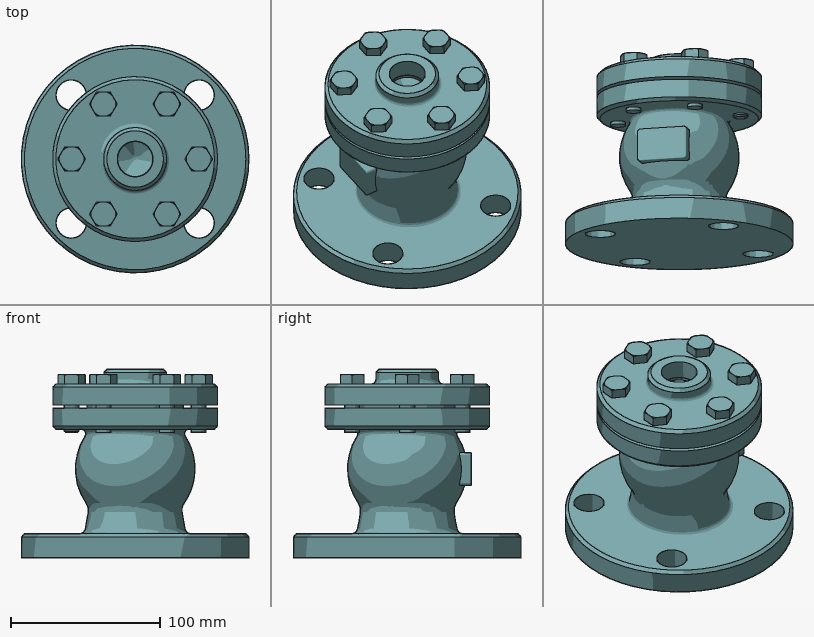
import cadquery as cq
import math

base_diameter = 152.0
base_thickness = 16.3
base_hole_diameter = 20.0
base_hole_circle = 120.7
base_hole_count = 4
flange_chamfer = 2.1

ball_radius = 40.0
ball_center_z = 59.5
foot_radius = 33.9
foot_taper = 10.0
foot_fillet = 4.0
waist_fillet = 8.0
neck_fillet = 3.0

cover_diameter = 110.0
cover_thickness = 14.1
gasket_diameter = 64.5
gasket_thickness = 2.0
lower_cover_z = 85.9
gasket_z = lower_cover_z + cover_thickness
upper_cover_z = gasket_z + gasket_thickness
cover_top_z = upper_cover_z + cover_thickness

total_height = 126.0
boss_diameter = 42.0
boss_fillet = 3.0
bore_diameter = 23.9
bore_depth = 12.8
pilot_diameter = 23.4
pilot_depth = 14.6
drill_point_angle = 118.0

bolt_diameter = 10.0
bolt_circle = 84.8
bolt_count = 6
bolt_head_flats = 16.0
bolt_head_height = 6.4
bolt_head_face_diameter = 16.5
bolt_head_bevel = 30.0
bolt_end_z = 83.8
bolt_end_chamfer = 1.0
chamfered_bolt_angle = 180.0

pad_width = 34.0
pad_height = 22.0
pad_center_z = 59.3
pad_face_y = 42.7
pad_corner_radius = 2.1
pad_edge_fillet = 0.6


def disc(diameter, thickness, z):
    return cq.Workplane("XY", origin=(0, 0, z)).circle(diameter / 2).extrude(thickness)


def round_ring(solid, radius, z, fillet):
    """Fillet the circular edge of the given radius about the Z axis at height z."""
    near = 0.02
    low_corner = (-radius - near, -radius - near, z - near)
    high_corner = (radius + near, radius + near, z + near)
    ring = cq.selectors.BoxSelector(low_corner, high_corner, boundingbox=True)
    return solid.edges(ring).fillet(fillet)


def waist_point():
    """Radius and height where the tapered foot runs into the lower half of the ball."""
    slope = math.tan(math.radians(foot_taper))
    drop = ball_center_z - base_thickness
    a = slope**2 + 1
    half_b = -(foot_radius * slope + drop)
    c = foot_radius**2 + drop**2 - ball_radius**2
    rise = (-half_b - math.sqrt(half_b**2 - a * c)) / a
    return foot_radius - slope * rise, base_thickness + rise


def make_body():
    """Everything turned about Z below the gasket, with its blends."""
    waist_radius, waist_z = waist_point()
    neck_radius = math.sqrt(ball_radius**2 - (lower_cover_z - ball_center_z) ** 2)
    base_radius = base_diameter / 2
    cover_radius = cover_diameter / 2
    body = (
        cq.Workplane("XZ")
        .moveTo(0, 0)
        .lineTo(base_radius, 0)
        .lineTo(base_radius, base_thickness - flange_chamfer)
        .lineTo(base_radius - flange_chamfer, base_thickness)
        .lineTo(foot_radius, base_thickness)
        .lineTo(waist_radius, waist_z)
        .threePointArc((ball_radius, ball_center_z), (neck_radius, lower_cover_z))
        .lineTo(cover_radius - flange_chamfer, lower_cover_z)
        .lineTo(cover_radius, lower_cover_z + flange_chamfer)
        .lineTo(cover_radius, gasket_z)
        .lineTo(0, gasket_z)
        .close()
        .revolve(360, (0, 0, 0), (0, 1, 0))
    )

    body = round_ring(body, waist_radius, waist_z, waist_fillet)
    body = round_ring(body, foot_radius, base_thickness, foot_fillet)
    return round_ring(body, neck_radius, lower_cover_z, neck_fillet)


def make_cover():
    """Gasket, upper flange and inlet boss."""
    flange = disc(cover_diameter, cover_thickness, upper_cover_z).faces(">Z").chamfer(flange_chamfer)
    boss = disc(boss_diameter, total_height - cover_top_z, cover_top_z)
    boss = boss.faces(">Z").chamfer(flange_chamfer)
    cover = flange.union(boss)
    cover = round_ring(cover, boss_diameter / 2, cover_top_z, boss_fillet)
    return cover.union(disc(gasket_diameter, gasket_thickness, gasket_z))


def make_bore():
    """Blind bore with a slightly narrower pilot and a drill point."""
    bore_radius = bore_diameter / 2
    pilot_radius = pilot_diameter / 2
    step_z = total_height - bore_depth
    pilot_z = total_height - pilot_depth
    tip_z = pilot_z - pilot_radius / math.tan(math.radians(drill_point_angle / 2))
    return (
        cq.Workplane("XZ")
        .moveTo(0, total_height)
        .lineTo(bore_radius, total_height)
        .lineTo(bore_radius, step_z)
        .lineTo(pilot_radius, step_z)
        .lineTo(pilot_radius, pilot_z)
        .lineTo(0, tip_z)
        .close()
        .revolve(360, (0, 0, 0), (0, 1, 0))
    )


def make_bolt(end_chamfered):
    """Hex bolt on the Z axis, with two corners of its head on the X axis."""
    corner_diameter = bolt_head_flats / math.cos(math.radians(30))
    corner_radius = corner_diameter / 2
    face_radius = bolt_head_face_diameter / 2
    head_top_z = cover_top_z + bolt_head_height
    bevel_drop = (corner_radius - face_radius) * math.tan(math.radians(bolt_head_bevel))
    hexagon = (
        cq.Workplane("XY", origin=(0, 0, cover_top_z))
        .polygon(6, corner_diameter)
        .extrude(bolt_head_height)
    )
    bevel = (
        cq.Workplane("XZ")
        .moveTo(0, cover_top_z)
        .lineTo(corner_radius, cover_top_z)
        .lineTo(corner_radius, head_top_z - bevel_drop)
        .lineTo(face_radius, head_top_z)
        .lineTo(0, head_top_z)
        .close()
        .revolve(360, (0, 0, 0), (0, 1, 0))
    )
    shank = disc(bolt_diameter, cover_top_z - bolt_end_z, bolt_end_z)
    if end_chamfered:
        shank = shank.faces("<Z").chamfer(bolt_end_chamfer)
    return hexagon.intersect(bevel).union(shank)


def make_pad():
    """Rounded rectangular pad, reaching from inside the ball to its flat +Y face."""
    pad = (
        cq.Workplane("XY")
        .box(pad_width, pad_face_y, pad_height, centered=(True, False, True))
        .edges("|Y")
        .fillet(pad_corner_radius)
        .faces(">Y")
        .edges()
        .fillet(pad_edge_fillet)
    )
    return pad.translate((0, 0, pad_center_z))


base_holes = (
    cq.Workplane("XY")
    .polarArray(base_hole_circle / 2, 180 / base_hole_count, 360, base_hole_count)
    .circle(base_hole_diameter / 2)
    .extrude(base_thickness)
)

result = make_body().union(make_cover()).union(make_pad()).cut(base_holes).cut(make_bore())

for index in range(bolt_count):
    angle = index * 360 / bolt_count
    bolt_x = bolt_circle / 2 * math.cos(math.radians(angle))
    bolt_y = bolt_circle / 2 * math.sin(math.radians(angle))
    bolt = make_bolt(end_chamfered=angle == chamfered_bolt_angle)
    result = result.union(bolt.translate((bolt_x, bolt_y, 0)))